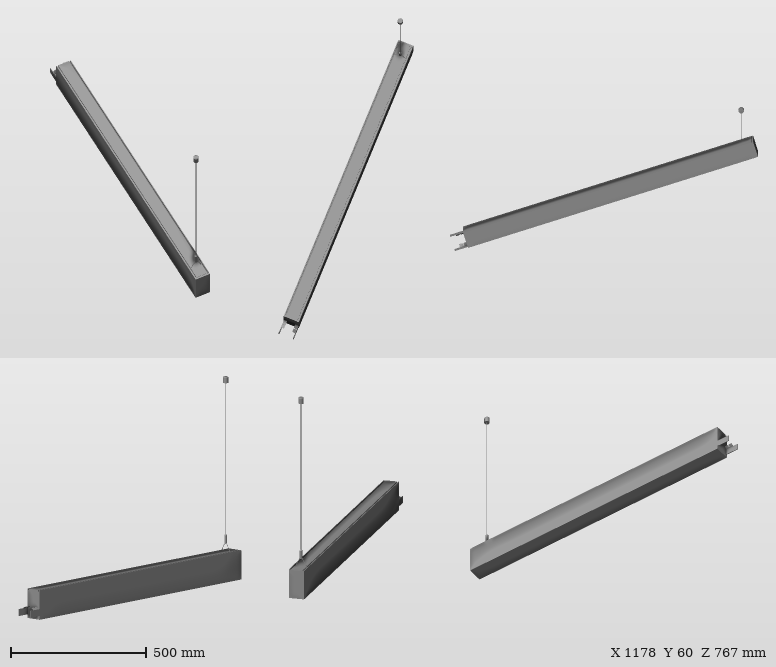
import cadquery as cq

total_length = 1178.0
housing_width = 60.0
housing_height = 111.0
total_height = 767.0

end_cap_thickness = 7.0
end_cap_drop = 1.0
end_cap_side_inset = 0.6
groove_width = 5.0
groove_depth = 6.0
groove_offset = 25.0

prong_length = 51.0
prong_thickness = 2.0
prong_inset = 0.6
prong_bottom = 14.0
prong_top = 40.0
prong_embed = 12.0
tab_rise = 7.0
tab_reach = 11.0
tab_thickness = 1.0
tab_starts = (20.0, 37.0)
tab_length = 14.0

cable_x = 1123.0
cable_diameter = 2.0
leg_spread = 4.1
gripper_diameter = 10.0
gripper_bottom = 139.0
gripper_height = 32.0
gripper_tip_height = 5.0
anchor_diameter = 20.0
anchor_top_diameter = 16.0
anchor_height = 24.0


def vertical_cylinder(diameter, bottom, height):
    """Cylinder on the cable axis, starting at the given height."""
    return cq.Workplane("XY", origin=(cable_x, 0, bottom)).circle(diameter / 2).extrude(height)


def rod_between(start, end, diameter):
    """Round rod whose axis joins two points."""
    axis = cq.Vector(*end) - cq.Vector(*start)
    return cq.Workplane(obj=cq.Solid.makeCylinder(diameter / 2, axis.Length, cq.Vector(*start), axis))


def make_housing():
    """Long box with a cable groove along each top edge and a slightly lower end cap."""
    body_length = total_length - prong_length - end_cap_thickness
    body = cq.Workplane("XY").box(body_length, housing_width, housing_height, centered=(False, True, False))
    for side in (-1, 1):
        groove = cq.Workplane("XY").box(
            body_length, groove_width, groove_depth, centered=(False, True, False)
        )
        body = body.cut(groove.translate((0, side * groove_offset, housing_height - groove_depth)))
    cap_width = housing_width - 2 * end_cap_side_inset
    cap = cq.Workplane("XY").box(
        end_cap_thickness, cap_width, housing_height - end_cap_drop, centered=(False, True, False)
    )
    return body.union(cap.translate((body_length, 0, 0))).translate((prong_length, 0, 0))


def make_prong():
    """Flat prong on the +Y side with two tabs bent inward from its top edge."""
    outer = housing_width / 2 - prong_inset
    inner = outer - prong_thickness
    prong = (
        cq.Workplane("XY")
        .box(prong_length + prong_embed, prong_thickness, prong_top - prong_bottom, centered=False)
        .translate((0, inner, prong_bottom))
    )
    tab_profile = [
        (outer, prong_top - tab_thickness),
        (outer, prong_top),
        (inner - tab_reach, prong_top + tab_rise),
        (inner - tab_reach, prong_top + tab_rise - tab_thickness),
        (inner, prong_top - tab_thickness),
    ]
    for start in tab_starts:
        tab = cq.Workplane("YZ", origin=(start, 0, 0)).polyline(tab_profile).close().extrude(tab_length)
        prong = prong.union(tab)
    return prong


def make_suspension():
    """Ceiling anchor, cable, gripper and the two legs that hook into the grooves."""
    anchor_bottom = total_height - anchor_height
    anchor = vertical_cylinder(anchor_diameter, anchor_bottom, anchor_height)
    anchor = anchor.faces(">Z").chamfer((anchor_diameter - anchor_top_diameter) / 2)
    gripper = vertical_cylinder(gripper_diameter, gripper_bottom, gripper_height)
    tip = (
        gripper.faces(">Z").workplane().circle(gripper_diameter / 2)
        .workplane(offset=gripper_tip_height).circle(cable_diameter / 2).loft(combine=False)
    )
    cable = vertical_cylinder(cable_diameter, gripper_bottom, anchor_bottom - gripper_bottom)
    suspension = anchor.union(cable).union(gripper).union(tip)
    for side in (-1, 1):
        leg = rod_between(
            (cable_x, side * leg_spread, gripper_bottom + cable_diameter),
            (cable_x, side * groove_offset, housing_height - groove_depth - cable_diameter),
            cable_diameter,
        )
        suspension = suspension.union(leg)
    return suspension


prong = make_prong()
result = make_housing().union(prong).union(prong.mirror("XZ")).union(make_suspension())